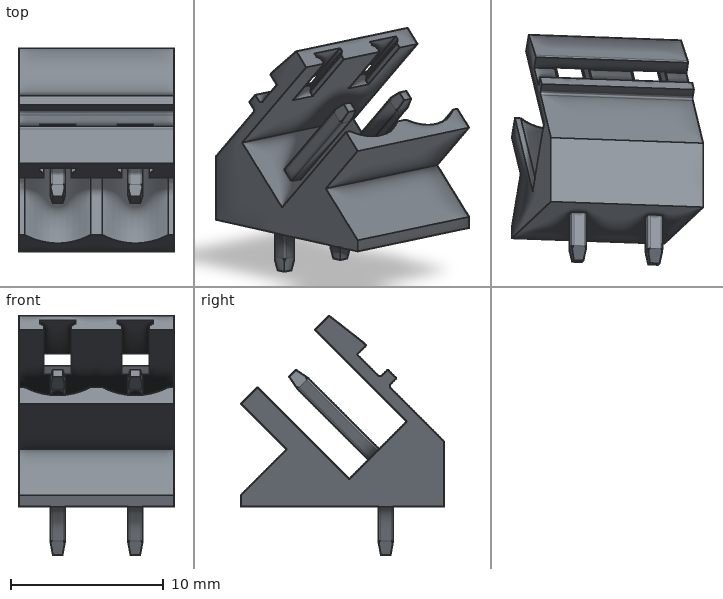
import cadquery as cq
import math


pole_count = 2
pole_pitch = 5.08
width = pole_count * pole_pitch
total_height = 15.67

length = 13.3
foot_height = 0.75

floor_corner_y = 7.1
floor_corner_z = 1.82
socket_depth = 8.5
socket_gap = 5.3
upper_wall = 0.81

catch_length = 3.1
catch_flat = 0.27
catch_thickness = 1.66
catch_tip_thickness = 1.32

rib_width = 0.8
rib_thickness = 1.54
rib_to_tip = 5.22
rib_fillet = 0.2

slot_length = 4.14
slot_width = 1.8
slot_flare = 0.27
slot_flare_start = 0.35
slot_depth = 0.88

hollow_width = 4.31
hollow_depth = 0.77

pin_width = 1.0
pin_fillet = 0.15
pin_tip_width = 0.65
pin_tip_length = 0.95
pin_depth = 7.52
pin_across = 2.25
tail_y = 9.48

diagonal = math.sqrt(0.5)
socket_plane = cq.Plane(
    origin=(0, floor_corner_y, floor_corner_z),
    xDir=(1, 0, 0),
    normal=(0, -diagonal, diagonal),
)


def socket_point(depth, across):
    """(Y, Z) of a point in the tilted frame of the socket."""
    y = floor_corner_y + (across - depth) * diagonal
    z = floor_corner_z + (across + depth) * diagonal
    return (y, z)


pole_positions = [(pole + 0.5) * pole_pitch for pole in range(pole_count)]
housing_top = socket_point(socket_depth, socket_gap + catch_tip_thickness)[1]
tail_length = total_height - housing_top


def housing_block():
    wall_back = socket_gap + upper_wall
    rib_back = socket_gap + rib_thickness
    catch_back = socket_gap + catch_thickness
    tip_back = socket_gap + catch_tip_thickness
    catch_start = socket_depth - catch_length
    rib_end = socket_depth - rib_to_tip
    rib_start = rib_end - rib_width

    rib_foot = socket_point(rib_start, wall_back)
    back_height = rib_foot[1] - (length - rib_foot[0])

    lower_tip_y, lower_tip_z = socket_point(socket_depth, 0)
    lower_edge_z = lower_tip_z - lower_tip_y
    notch_depth = (lower_edge_z - foot_height) / 2

    outline = [
        (0, 0),
        (0, foot_height),
        (notch_depth, foot_height + notch_depth),
        (0, lower_edge_z),
        (lower_tip_y, lower_tip_z),
        socket_point(0, 0),
        socket_point(0, socket_gap),
        socket_point(socket_depth, socket_gap),
        socket_point(socket_depth, tip_back),
        socket_point(catch_start + catch_flat, catch_back),
        socket_point(catch_start, catch_back),
        socket_point(catch_start, wall_back),
        socket_point(rib_end, wall_back),
        socket_point(rib_end, rib_back),
        socket_point(rib_start, rib_back),
        rib_foot,
        (length, back_height),
        (length, 0),
    ]
    block = cq.Workplane("YZ").polyline(outline).close().extrude(width)

    for depth in (rib_start, rib_end):
        rib_corner = (width / 2, *socket_point(depth, wall_back))
        block = block.edges(cq.selectors.NearestToPointSelector(rib_corner)).fillet(rib_fillet)
    return block


def dovetail_slot(x):
    """Slot open at the tip of the upper wall; deep enough to break through behind the catch."""
    narrow = slot_width / 2
    wide = narrow + slot_flare
    flare_end = slot_flare_start + slot_flare
    section = [
        (-narrow, 0),
        (-narrow, slot_flare_start),
        (-wide, flare_end),
        (-wide, slot_depth),
        (wide, slot_depth),
        (wide, flare_end),
        (narrow, slot_flare_start),
        (narrow, 0),
    ]
    return (
        cq.Workplane(socket_plane)
        .workplane(offset=socket_depth - slot_length)
        .center(x, socket_gap)
        .polyline(section)
        .close()
        .extrude(slot_length)
    )


def hollow(x):
    """Shallow arc-shaped cut running along the lower wall of the socket."""
    segment = (
        cq.Workplane(socket_plane)
        .moveTo(x - hollow_width / 2, 0)
        .threePointArc((x, -hollow_depth), (x + hollow_width / 2, 0))
        .close()
    )
    return segment.extrude(socket_depth)


def pin_leg(tip_plane, leg_length):
    """Square bar with rounded edges, starting at its tapered tip."""
    bar = cq.Workplane(tip_plane).rect(pin_width, pin_width).extrude(leg_length)
    long_edges = cq.selectors.ParallelDirSelector(tip_plane.zDir)
    bar = bar.edges(long_edges).fillet(pin_fillet)
    far_width = pin_tip_width + (pin_width - pin_tip_width) * leg_length / pin_tip_length
    taper = (
        cq.Workplane(tip_plane)
        .rect(pin_tip_width, pin_tip_width)
        .workplane(offset=leg_length)
        .rect(far_width, far_width)
        .loft(ruled=True)
    )
    return bar.intersect(taper)


def pin(x):
    """Pin bent by 45 degrees inside the housing: a tail below it and a contact in the socket."""
    elbow_depth = pin_across - (tail_y - floor_corner_y) / diagonal
    elbow_z = socket_point(elbow_depth, pin_across)[1]
    overrun = pin_width / 2 * math.tan(math.radians(45 / 2))

    tail_tip = cq.Plane(origin=(x, tail_y, -tail_length), xDir=(1, 0, 0), normal=(0, 0, 1))
    tail = pin_leg(tail_tip, tail_length + elbow_z + overrun)

    contact_tip = cq.Plane(
        origin=(x, *socket_point(pin_depth, pin_across)),
        xDir=(1, 0, 0),
        normal=(0, diagonal, -diagonal),
    )
    contact = pin_leg(contact_tip, pin_depth - elbow_depth + overrun)
    return tail.union(contact)


pins = [pin(x) for x in pole_positions]

housing = housing_block()
for x, pole_pin in zip(pole_positions, pins):
    housing = housing.cut(dovetail_slot(x)).cut(hollow(x)).cut(pole_pin)

result = cq.Compound.makeCompound(
    [housing.solids().val(), *[pole_pin.solids().val() for pole_pin in pins]]
)